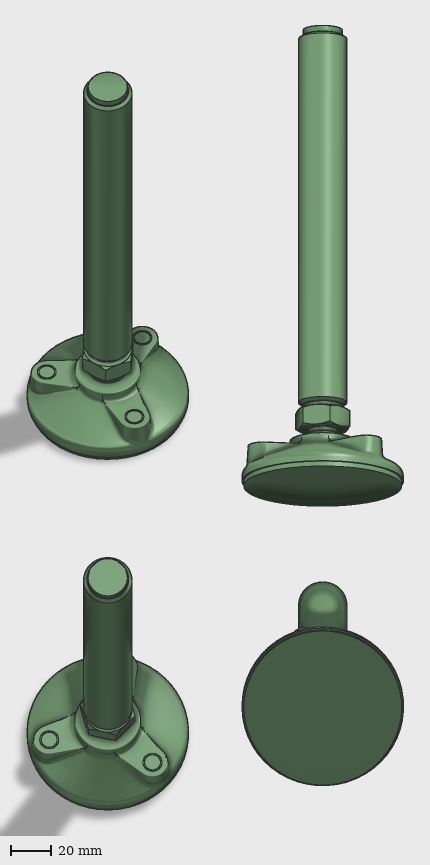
import cadquery as cq
import math

TOTAL_HEIGHT = 233.28

PAD_RADIUS = 78.2 / 2
PAD_HEIGHT = 2.5
FOOT_RADIUS = 40.0
CONE_EDGE_Z = 7.4
CONE_ANGLE = 25.5
RIM_FILLET = 4.0

COLLAR_RADIUS = 16.3
COLLAR_TOP_Z = 23.2
COLLAR_TOP_FILLET = 0.7
COLLAR_CONE_FILLET = 4.5
COLLAR_ARM_FILLET = 2.5
FLARE_OVERLAP = 1.0

ARM_COUNT = 3
FIRST_ARM_ANGLE = 90.0
ARM_TOP_Z = 18.6
ARM_BOTTOM_Z = 4.0
ARM_END_CENTER = 30.3
ARM_END_RADIUS = 7.7
ARM_SIDE_ANGLE = 6.0
ARM_DRAFT = 3.5
ARM_FILLET = 2.5
RING_OUTER_RADIUS = 9.4 / 2
RING_INNER_RADIUS = 7.91 / 2
RING_DEPTH = 0.1
ARM_EDGE_FILLET = 0.4

SLEEVE_BASE_RADIUS = 18.5 / 2
SLEEVE_TOP_RADIUS = 7.5
SLEEVE_SAG = 0.25
SLEEVE_TOP_Z = 26.7
STEM_RADIUS = 14.3 / 2

HEX_ACROSS_FLATS = 24.0
HEX_BOTTOM_Z = 28.8
HEX_HEIGHT = 10.0
HEX_CHAMFER_ANGLE = 30.0

SPINDLE_RADIUS = 12.0
NECK_RADIUS = 18.5 / 2
TIP_RADIUS = 19.5 / 2
END_CONE_RADIUS = 10.3
NECK_HEIGHT = 2.5
TIP_HEIGHT = 3.1
END_CONE_HEIGHT = 1.4

HEX_TOP_Z = HEX_BOTTOM_Z + HEX_HEIGHT
EDGE_MATCH = 0.01
SEAM_ANGLE = -90.0
CONE_SLOPE = math.tan(math.radians(CONE_ANGLE))


def cone_z(radius):
    """Height of the dish surface at a given distance from the axis."""
    return CONE_EDGE_Z + (FOOT_RADIUS - radius) * CONE_SLOPE


def revolve_about_axis(profile):
    """Full turn about Z, with the seam at -Y, clear of the arms."""
    return profile.revolve(360, (0, 0, 0), (0, 1, 0)).rotate((0, 0, 0), (0, 0, 1), SEAM_ANGLE)


def make_dish():
    """Conical dish with a rounded rim, carrying the collar."""
    slope_angle = math.radians(CONE_ANGLE)
    rim_turn = math.pi / 2 - slope_angle
    rim_tangent = RIM_FILLET * math.tan(rim_turn / 2)
    rim_center_r = FOOT_RADIUS - RIM_FILLET
    rim_center_z = CONE_EDGE_Z - rim_tangent
    rim_end_r = FOOT_RADIUS - rim_tangent * math.cos(slope_angle)
    collar_shoulder_r = COLLAR_RADIUS - COLLAR_TOP_FILLET
    profile = (
        cq.Workplane("XZ")
        .moveTo(0, PAD_HEIGHT)
        .lineTo(FOOT_RADIUS, PAD_HEIGHT)
        .lineTo(FOOT_RADIUS, rim_center_z)
        .threePointArc(
            (
                rim_center_r + RIM_FILLET * math.cos(rim_turn / 2),
                rim_center_z + RIM_FILLET * math.sin(rim_turn / 2),
            ),
            (rim_end_r, cone_z(rim_end_r)),
        )
        .lineTo(COLLAR_RADIUS, cone_z(COLLAR_RADIUS))
        .lineTo(COLLAR_RADIUS, COLLAR_TOP_Z - COLLAR_TOP_FILLET)
        .radiusArc((collar_shoulder_r, COLLAR_TOP_Z), -COLLAR_TOP_FILLET)
        .lineTo(0, COLLAR_TOP_Z)
        .close()
    )
    return revolve_about_axis(profile)


def make_arm(top_z):
    """One arm along +X: rounded end, sides spreading toward the axis, drafted outward going down.

    The outline is sized at the flat top of the arm, whatever height the solid is raised to.
    """
    draft_slope = math.tan(math.radians(ARM_DRAFT))
    end_radius = ARM_END_RADIUS - (top_z - ARM_TOP_Z) * draft_slope
    angle = math.radians(ARM_SIDE_ANGLE)
    tangent_x = ARM_END_CENTER + end_radius * math.sin(angle)
    tangent_y = end_radius * math.cos(angle)
    root_y = tangent_y + tangent_x * math.tan(angle)
    return (
        cq.Workplane("XY", origin=(0, 0, top_z))
        .moveTo(0, -root_y)
        .lineTo(tangent_x, -tangent_y)
        .threePointArc((ARM_END_CENTER + end_radius, 0), (tangent_x, tangent_y))
        .lineTo(0, root_y)
        .close()
        .extrude(ARM_BOTTOM_Z - top_z, taper=-ARM_DRAFT)
    )


def flare_profile(fillet_radius, slope_angle, corner_z):
    """Concave ring section blending the collar wall into a surface that falls away at slope_angle."""
    turn = math.pi / 2 - slope_angle
    tangent = fillet_radius * math.tan(turn / 2)
    center_r = COLLAR_RADIUS + fillet_radius
    center_z = corner_z + tangent
    outer_r = COLLAR_RADIUS + tangent * math.cos(slope_angle)
    outer_z = corner_z - tangent * math.sin(slope_angle)
    middle = math.pi + turn / 2
    middle_point = (
        center_r + fillet_radius * math.cos(middle),
        center_z + fillet_radius * math.sin(middle),
    )
    return (
        cq.Workplane("XZ")
        .moveTo(COLLAR_RADIUS - FLARE_OVERLAP, center_z)
        .lineTo(COLLAR_RADIUS, center_z)
        .threePointArc(middle_point, (outer_r, outer_z))
        .lineTo(outer_r, outer_z - FLARE_OVERLAP)
        .lineTo(COLLAR_RADIUS - FLARE_OVERLAP, outer_z - FLARE_OVERLAP)
        .close()
    )


def arm_copies(arm_feature):
    """Place a feature modelled along +X on every arm."""
    step = 360 / ARM_COUNT
    return [
        arm_feature.rotate((0, 0, 0), (0, 0, 1), FIRST_ARM_ANGLE + index * step) for index in range(ARM_COUNT)
    ]


def make_cone_flare():
    """Blend between the collar and the cone, left out where the arms run."""
    slope_angle = math.radians(CONE_ANGLE)
    ring = revolve_about_axis(flare_profile(COLLAR_CONE_FILLET, slope_angle, cone_z(COLLAR_RADIUS)))
    for arm in arm_copies(make_arm(COLLAR_TOP_Z)):
        ring = ring.cut(arm)
    return ring


def make_arm_flare():
    """Blend between the collar and the flat top of an arm along +X, as wide as the arm."""
    ring = revolve_about_axis(flare_profile(COLLAR_ARM_FILLET, 0, ARM_TOP_Z))
    return ring.intersect(make_arm(COLLAR_TOP_Z))


def make_foot():
    """Dish, collar, arms and pad ring."""
    foot = make_dish()
    for arm in arm_copies(make_arm(ARM_TOP_Z)):
        foot = foot.union(arm)

    root_edges = [edge for edge in foot.edges().vals() if edge.geomType() in ("HYPERBOLA", "BSPLINE")]
    foot = foot.newObject(root_edges).fillet(ARM_FILLET)

    arm_top_edges = [
        edge
        for edge in foot.edges().vals()
        if math.isclose(edge.Center().z, ARM_TOP_Z, abs_tol=EDGE_MATCH)
        and not (edge.geomType() == "CIRCLE" and math.isclose(edge.radius(), COLLAR_RADIUS))
    ]
    foot = foot.newObject(arm_top_edges).fillet(ARM_EDGE_FILLET)

    foot = foot.union(make_cone_flare())
    for arm_flare in arm_copies(make_arm_flare()):
        foot = foot.union(arm_flare)

    ring_plane = cq.Workplane("XY", origin=(ARM_END_CENTER, 0, ARM_TOP_Z))
    ring_groove = ring_plane.circle(RING_OUTER_RADIUS).circle(RING_INNER_RADIUS).extrude(-RING_DEPTH)
    for groove in arm_copies(ring_groove):
        foot = foot.cut(groove)

    pad_ring = cq.Workplane("XY").circle(PAD_RADIUS).extrude(PAD_HEIGHT)
    return foot.union(pad_ring)


def make_stem():
    """Plain stem from the collar to the hexagon, with a flared sleeve at its foot."""
    sleeve_middle = (
        (SLEEVE_BASE_RADIUS + SLEEVE_TOP_RADIUS) / 2 - SLEEVE_SAG,
        (COLLAR_TOP_Z + SLEEVE_TOP_Z) / 2,
    )
    profile = (
        cq.Workplane("XZ")
        .moveTo(0, COLLAR_TOP_Z)
        .lineTo(SLEEVE_BASE_RADIUS, COLLAR_TOP_Z)
        .threePointArc(sleeve_middle, (SLEEVE_TOP_RADIUS, SLEEVE_TOP_Z))
        .lineTo(STEM_RADIUS, SLEEVE_TOP_Z)
        .lineTo(STEM_RADIUS, HEX_BOTTOM_Z)
        .lineTo(0, HEX_BOTTOM_Z)
        .close()
    )
    return revolve_about_axis(profile)


def make_hexagon():
    """Hexagon with flats facing +Y and -Y and corners chamfered at both ends."""
    corner_radius = HEX_ACROSS_FLATS / math.sqrt(3)
    flat_radius = HEX_ACROSS_FLATS / 2
    chamfer_height = (corner_radius - flat_radius) * math.tan(math.radians(HEX_CHAMFER_ANGLE))
    prism = cq.Workplane("XY", origin=(0, 0, HEX_BOTTOM_Z)).polygon(6, 2 * corner_radius).extrude(HEX_HEIGHT)
    chamfer_profile = (
        cq.Workplane("XZ")
        .moveTo(0, HEX_BOTTOM_Z)
        .lineTo(flat_radius, HEX_BOTTOM_Z)
        .lineTo(corner_radius, HEX_BOTTOM_Z + chamfer_height)
        .lineTo(corner_radius, HEX_TOP_Z - chamfer_height)
        .lineTo(flat_radius, HEX_TOP_Z)
        .lineTo(0, HEX_TOP_Z)
        .close()
    )
    return prism.intersect(revolve_about_axis(chamfer_profile))


def make_spindle():
    """Long spindle with a neck below, a reduced tip above and a cone leading to each."""
    cone_bottom_z = HEX_TOP_Z + NECK_HEIGHT
    cone_top_z = TOTAL_HEIGHT - TIP_HEIGHT
    profile = (
        cq.Workplane("XZ")
        .moveTo(0, HEX_TOP_Z)
        .lineTo(NECK_RADIUS, HEX_TOP_Z)
        .lineTo(NECK_RADIUS, cone_bottom_z)
        .lineTo(END_CONE_RADIUS, cone_bottom_z)
        .lineTo(SPINDLE_RADIUS, cone_bottom_z + END_CONE_HEIGHT)
        .lineTo(SPINDLE_RADIUS, cone_top_z - END_CONE_HEIGHT)
        .lineTo(END_CONE_RADIUS, cone_top_z)
        .lineTo(TIP_RADIUS, cone_top_z)
        .lineTo(TIP_RADIUS, TOTAL_HEIGHT)
        .lineTo(0, TOTAL_HEIGHT)
        .close()
    )
    return revolve_about_axis(profile)


result = make_foot().union(make_stem()).union(make_hexagon()).union(make_spindle())